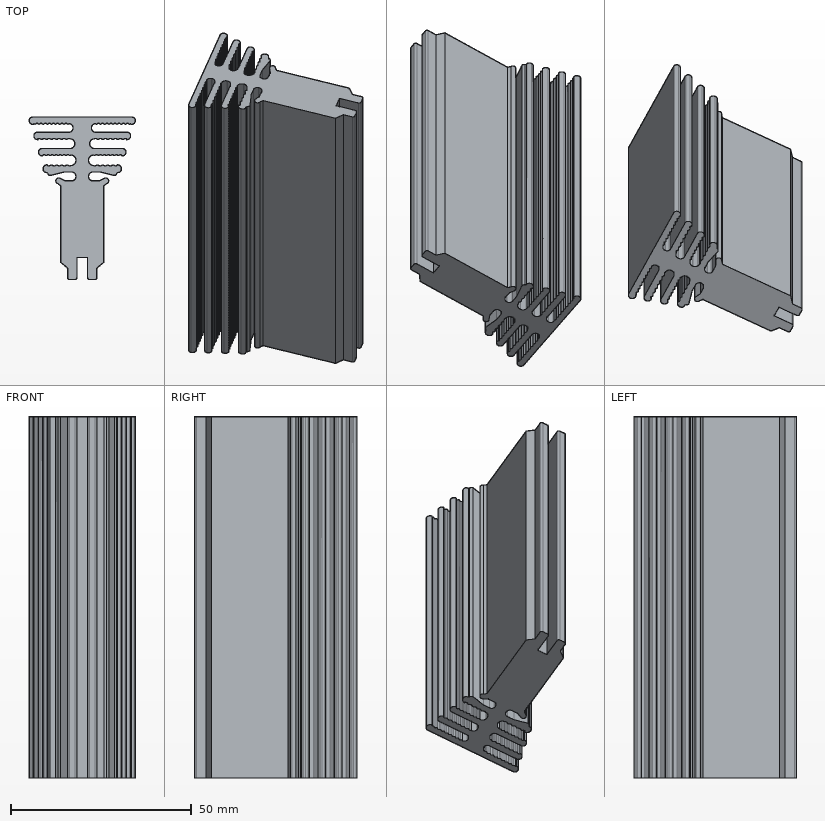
import cadquery as cq
import math

length = 100.0
depth = 45.0
back_half_width = 14.7
fin_setback = 1.285

fin_pitch = 4.5
second_fin_y = depth - 4.2
fin_count = 4
fin_half_widths = [back_half_width - fin_setback * number for number in range(fin_count)]
fin_backs = [depth] + [second_fin_y - fin_pitch * number for number in range(fin_count - 1)]
tip_back_radius = 1.0
tip_front_radius = 1.13

slot_bottom_flat = 0.16
web_half_widths = [2.58, 2.1, 1.785]

ripple_swing = 0.138
flank_rise = 0.055
flank_share = 0.32

rippled_thicknesses = [1.89, 1.91, 1.87]
front_half_waves = [17, 13, 14]
front_first_swings = [-ripple_swing, ripple_swing, ripple_swing]
front_flank_shares = [0, flank_share, flank_share]
front_tip_insets = [0.2, 0.01, 0.21]

last_half_waves = 9
last_mean_drop = 0.21
last_tip_inset = 0.11

last_tip_radius = 1.13
tip_turn_middle = (10.68, 29.99)
hook_start = (9.82, 29.62)
hook_outer = (9.54, 29.35)
hook_bottom = (9.21, 28.9)
hook_inner = (8.87, 28.78)
slope_end_x = 4.91

front_slot_back = 29.73
front_slot_front = 27.36
front_slot_web = 1.785
front_slot_flat_end_x = 4.73

lip_x = 6.51
lip_y = 27.32
lip_radius = 0.83
lip_start_angle = 107.0
lip_end_angle = -74.0
lip_foot_y = 25.93

body_half_width = 6.0
body_front_y = 4.78
leg_half_width = 4.05
leg_back_y = 3.17
foot_radius = 0.56
groove_half_width = 1.45
groove_depth = 6.1


def on_circle(x, y, radius, angle):
    """Return the point of a circle about (x, y) at an angle in degrees from +X."""
    turn = math.radians(angle)
    return (x + radius * math.cos(turn), y + radius * math.sin(turn))


def add_arc(path, x, y, radius, start, end):
    """Continue the path along a circle about (x, y), from the start angle to the end angle."""
    middle = on_circle(x, y, radius, (start + end) / 2)
    return path.threePointArc(middle, on_circle(x, y, radius, end))


def add_ripples(path, x_first, x_last, y, half_waves, first_swing, share):
    """Continue the path in arcs that alternate about the line at y, with flanks taking a share of each."""
    step = (x_last - x_first) / half_waves
    flank_run = share * step / 2
    swing = first_swing
    for number in range(half_waves):
        x = x_first + number * step
        end_x = x + step - flank_run
        end_y = y
        if share > 0:
            end_y = y + math.copysign(flank_rise, swing)
            path = path.lineTo(x + flank_run, end_y)
        path = path.threePointArc((x + step / 2, y + swing), (end_x, end_y))
        swing = -swing
    if share > 0:
        path = path.lineTo(x_last, y)
    return path


def slot_radius(y_back, y_front):
    """Return the radius of the two roundings at the bottom of a slot between two walls."""
    return (y_back - y_front - slot_bottom_flat) / 2


def add_slot_end(path, web_half_width, y_back, y_front):
    """Continue the path round a slot bottom, from the slot's back wall to its front wall."""
    radius = slot_radius(y_back, y_front)
    x = web_half_width + radius
    path = add_arc(path, x, y_back - radius, radius, 90, 180)
    path = path.lineTo(web_half_width, y_front + radius)
    return add_arc(path, x, y_front + radius, radius, 180, 270)


def add_fin_and_slot(path, number):
    """Continue the path round one full fin and the slot in front of it; return also the slot's root X."""
    back_x = fin_half_widths[number] - tip_back_radius
    front_x = fin_half_widths[number] - tip_front_radius
    tip_y = fin_backs[number] - tip_back_radius
    path = path.lineTo(back_x, fin_backs[number])
    path = add_arc(path, back_x, tip_y, tip_back_radius, 90, 0)
    path = add_arc(path, front_x, tip_y, tip_front_radius, 0, -90)

    mean_y = fin_backs[number] - rippled_thicknesses[number]
    slot_front_y = fin_backs[number + 1]
    if number + 1 == fin_count - 1:
        slot_front_y -= last_mean_drop
    web = web_half_widths[number]
    root_x = web + slot_radius(mean_y, slot_front_y)
    first_x = front_x - front_tip_insets[number]
    path = path.lineTo(first_x, mean_y)
    half_waves = front_half_waves[number]
    first_swing = front_first_swings[number]
    share = front_flank_shares[number]
    path = add_ripples(path, first_x, root_x, mean_y, half_waves, first_swing, share)
    return add_slot_end(path, web, mean_y, slot_front_y), root_x


def add_last_fin(path, root_x):
    """Continue the path round the last fin: rippled back, rounded tip, hooked end, sloping front."""
    tip_x = fin_half_widths[-1] - last_tip_radius
    back = fin_backs[-1]
    tip_y = back - last_tip_radius
    mean_y = back - last_mean_drop
    last_x = tip_x - last_tip_inset
    path = add_ripples(path, root_x, last_x, mean_y, last_half_waves, -ripple_swing, flank_share)
    path = path.lineTo(tip_x, back)
    path = add_arc(path, tip_x, tip_y, last_tip_radius, 90, 0)
    path = path.threePointArc(tip_turn_middle, hook_start).lineTo(*hook_outer)
    path = path.threePointArc(hook_bottom, hook_inner)
    return path.lineTo(slope_end_x, front_slot_back)


def add_front_slot_and_lip(path):
    """Continue the path round the front slot and the shoulder lip to the side of the body."""
    root_x = front_slot_web + slot_radius(front_slot_back, front_slot_front)
    path = path.lineTo(root_x, front_slot_back)
    path = add_slot_end(path, front_slot_web, front_slot_back, front_slot_front)
    path = path.lineTo(front_slot_flat_end_x, front_slot_front)
    path = path.lineTo(*on_circle(lip_x, lip_y, lip_radius, lip_start_angle))
    path = add_arc(path, lip_x, lip_y, lip_radius, lip_start_angle, lip_end_angle)
    return path.lineTo(body_half_width, lip_foot_y)


def add_body_and_foot(path):
    """Continue the path down the body, round one leg and up the groove to the middle."""
    outer_x = leg_half_width - foot_radius
    inner_x = groove_half_width + foot_radius
    path = path.lineTo(body_half_width, body_front_y).lineTo(leg_half_width, leg_back_y)
    path = path.lineTo(leg_half_width, foot_radius)
    path = add_arc(path, outer_x, foot_radius, foot_radius, 0, -90)
    path = path.lineTo(inner_x, 0)
    path = add_arc(path, inner_x, foot_radius, foot_radius, 270, 180)
    return path.lineTo(groove_half_width, groove_depth).lineTo(0, groove_depth)


def make_half():
    """Extrude the +X half of the profile."""
    path = cq.Workplane("XY").moveTo(0, depth)
    for number in range(fin_count - 1):
        path, root_x = add_fin_and_slot(path, number)
    path = add_last_fin(path, root_x)
    path = add_front_slot_and_lip(path)
    path = add_body_and_foot(path)
    return path.close().extrude(length)


half = make_half()
result = half.union(half.mirror("YZ")).clean()